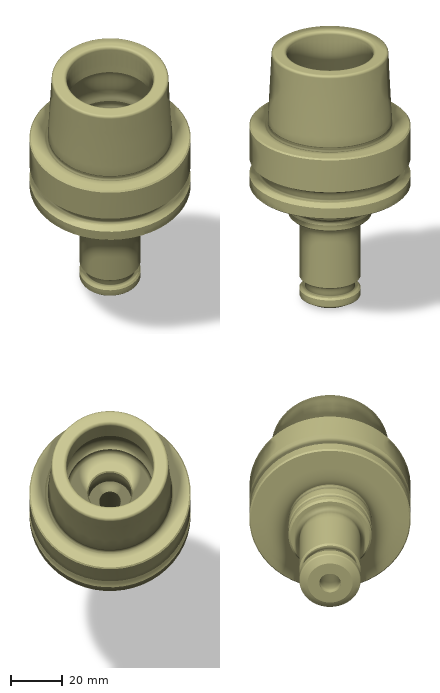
import cadquery as cq
import math

TOTAL_HEIGHT = 107.5

NOSE_BASE_R = 24.3
NOSE_BASE_Z = 77.3
NOSE_TAPER = 1 / 20
RIM_FILLET = 1.1

RELIEF_NECK_R = 48.2 / 2
RELIEF_NECK_Z = 76.9
RELIEF_FILLET = 0.8
RELIEF_FLOOR_Z = 75.5
RELIEF_OUTER_R = 25.5

FLANGE_R = 63.0 / 2
FLANGE_TOP_Z = 75.7
FLANGE_BOTTOM_Z = 49.5
FLANGE_CHAMFER = 0.5
V_GROOVE_R = 55.0 / 2
V_GROOVE_TOP_Z = 61.3
V_GROOVE_BOTTOM_Z = 54.3
V_GROOVE_FLANK_ANGLE = 30.0
LEDGE_TOP_Z = 59.5
LEDGE_BOTTOM_Z = 55.6
V_GROOVE_FILLET = 0.6

COLLAR_R = 32.5 / 2
COLLAR_BOTTOM_Z = 36.5
COLLAR_CHAMFER = 0.8
COLLAR_ROOT_R = 15.9
COLLAR_ROOT_HEIGHT = 0.9
RING_GROOVES = [
    (47.7, 45.7, 0.2, 0.2, 0.4),
    (41.7, 39.5, 0.5, 0.3, 0.3),
]

SHANK_R = 24.0 / 2
SHANK_ROOT_FILLET = 1.9
SHANK_BOTTOM_Z = 9.6
NECK_R = 19.5 / 2
NECK_FILLET = 0.27
KNOB_TOP_Z = 5.5
EDGE_CHAMFER = 0.6
KNOB_TIP_R = 8.8
KNOB_TIP_ANGLE = 30.0
KNOB_FILLET = 0.8

BORE_R = 34.0 / 2
BORE_RIM_FILLET = 1.3
BORE_BOTTOM_Z = 94.3
RECESS_R = 40.0 / 2
RECESS_ROUND_TOP_Z = 81.9
FLOOR_Z = 76.3
FLOOR_FILLET = 1.3
COUNTERBORE_R = 16.9 / 2
COUNTERBORE_CHAMFER = 0.48
COUNTERBORE_DEPTH = 10.8
THROUGH_R = 8.4 / 2


def line_then_arc(path, center, radius, start_angle, end_angle):
    """Line to the start of a circular arc, then follow the arc; angles in degrees."""
    def point(angle):
        turn = math.radians(angle)
        return (center[0] + radius * math.cos(turn), center[1] + radius * math.sin(turn))

    middle = point((start_angle + end_angle) / 2)
    return path.lineTo(*point(start_angle)).threePointArc(middle, point(end_angle))


def ring_groove(path, top, bottom, bevel_height, bevel_depth, round_depth):
    """Groove with bevelled edges and a round bottom, drawn downwards along the collar."""
    edge_r = COLLAR_R - bevel_depth
    return (
        path.lineTo(COLLAR_R, top)
        .lineTo(edge_r, top - bevel_height)
        .threePointArc((edge_r - round_depth, (top + bottom) / 2), (edge_r, bottom + bevel_height))
        .lineTo(COLLAR_R, bottom)
    )


def outer_body():
    arc = line_then_arc
    rim_z = TOTAL_HEIGHT - RIM_FILLET
    rim_r = NOSE_BASE_R - (rim_z - NOSE_BASE_Z) * NOSE_TAPER

    path = cq.Workplane("XZ").moveTo(0, TOTAL_HEIGHT)
    path = arc(path, (rim_r - RIM_FILLET, rim_z), RIM_FILLET, 90, 0)
    path = path.lineTo(NOSE_BASE_R, NOSE_BASE_Z).lineTo(RELIEF_NECK_R, RELIEF_NECK_Z)
    relief_center = (RELIEF_NECK_R + RELIEF_FILLET, RELIEF_FLOOR_Z + RELIEF_FILLET)
    path = arc(path, relief_center, RELIEF_FILLET, 180, 270)
    path = path.lineTo(RELIEF_OUTER_R, FLANGE_TOP_Z)

    flank_run = 1 / math.tan(math.radians(V_GROOVE_FLANK_ANGLE))
    upper_flank_r = FLANGE_R - (V_GROOVE_TOP_Z - LEDGE_TOP_Z) * flank_run
    lower_flank_r = FLANGE_R - (LEDGE_BOTTOM_Z - V_GROOVE_BOTTOM_Z) * flank_run
    groove_center_r = V_GROOVE_R + V_GROOVE_FILLET
    upper_center = (groove_center_r, LEDGE_TOP_Z - V_GROOVE_FILLET)
    lower_center = (groove_center_r, LEDGE_BOTTOM_Z + V_GROOVE_FILLET)
    path = (
        path.lineTo(FLANGE_R - FLANGE_CHAMFER, FLANGE_TOP_Z)
        .lineTo(FLANGE_R, FLANGE_TOP_Z - FLANGE_CHAMFER)
        .lineTo(FLANGE_R, V_GROOVE_TOP_Z)
    )
    path = path.lineTo(upper_flank_r, LEDGE_TOP_Z)
    path = arc(path, upper_center, V_GROOVE_FILLET, 90, 180)
    path = arc(path, lower_center, V_GROOVE_FILLET, 180, 270)
    path = (
        path.lineTo(lower_flank_r, LEDGE_BOTTOM_Z)
        .lineTo(FLANGE_R, V_GROOVE_BOTTOM_Z)
        .lineTo(FLANGE_R, FLANGE_BOTTOM_Z + FLANGE_CHAMFER)
        .lineTo(FLANGE_R - FLANGE_CHAMFER, FLANGE_BOTTOM_Z)
        .lineTo(COLLAR_ROOT_R, FLANGE_BOTTOM_Z)
    )

    path = path.lineTo(COLLAR_R, FLANGE_BOTTOM_Z - COLLAR_ROOT_HEIGHT)
    for groove in RING_GROOVES:
        path = ring_groove(path, *groove)
    path = path.lineTo(COLLAR_R, COLLAR_BOTTOM_Z + COLLAR_CHAMFER)
    path = path.lineTo(COLLAR_R - COLLAR_CHAMFER, COLLAR_BOTTOM_Z)

    root_center = (SHANK_R + SHANK_ROOT_FILLET, COLLAR_BOTTOM_Z - SHANK_ROOT_FILLET)
    path = arc(path, root_center, SHANK_ROOT_FILLET, 90, 180)
    path = path.lineTo(SHANK_R, SHANK_BOTTOM_Z + EDGE_CHAMFER)
    path = path.lineTo(SHANK_R - EDGE_CHAMFER, SHANK_BOTTOM_Z)
    neck_center_r = NECK_R + NECK_FILLET
    path = arc(path, (neck_center_r, SHANK_BOTTOM_Z - NECK_FILLET), NECK_FILLET, 90, 180)
    path = arc(path, (neck_center_r, KNOB_TOP_Z + NECK_FILLET), NECK_FILLET, 180, 270)

    tip_slope = math.tan(math.radians(KNOB_TIP_ANGLE))
    tip_corner_z = (SHANK_R - KNOB_TIP_R) * tip_slope
    knob_offset = KNOB_FILLET * math.tan(math.radians((90 - KNOB_TIP_ANGLE) / 2))
    knob_center = (SHANK_R - KNOB_FILLET, tip_corner_z + knob_offset)
    path = path.lineTo(SHANK_R - EDGE_CHAMFER, KNOB_TOP_Z)
    path = path.lineTo(SHANK_R, KNOB_TOP_Z - EDGE_CHAMFER)
    path = arc(path, knob_center, KNOB_FILLET, 0, KNOB_TIP_ANGLE - 90)
    path = path.lineTo(KNOB_TIP_R, 0).lineTo(0, 0)
    return path.close().revolve(360, (0, 0, 0), (0, 1, 0))


def inner_cavity():
    counterbore_z = FLOOR_Z - COUNTERBORE_DEPTH

    path = cq.Workplane("XZ").moveTo(0, TOTAL_HEIGHT)
    rim_center = (BORE_R + BORE_RIM_FILLET, TOTAL_HEIGHT - BORE_RIM_FILLET)
    path = line_then_arc(path, rim_center, BORE_RIM_FILLET, 90, 180)
    path = path.lineTo(BORE_R, BORE_BOTTOM_Z).lineTo(RECESS_R, BORE_BOTTOM_Z)
    recess_fillet = RECESS_R - BORE_R
    path = line_then_arc(path, (BORE_R, RECESS_ROUND_TOP_Z), recess_fillet, 0, -90)
    floor_center = (BORE_R - FLOOR_FILLET, FLOOR_Z + FLOOR_FILLET)
    path = line_then_arc(path, floor_center, FLOOR_FILLET, 0, -90)
    path = (
        path.lineTo(COUNTERBORE_R + COUNTERBORE_CHAMFER, FLOOR_Z)
        .lineTo(COUNTERBORE_R, FLOOR_Z - COUNTERBORE_CHAMFER)
        .lineTo(COUNTERBORE_R, counterbore_z)
        .lineTo(THROUGH_R, counterbore_z)
        .lineTo(THROUGH_R, 0)
        .lineTo(0, 0)
    )
    return path.close().revolve(360, (0, 0, 0), (0, 1, 0))


result = outer_body().cut(inner_cavity())